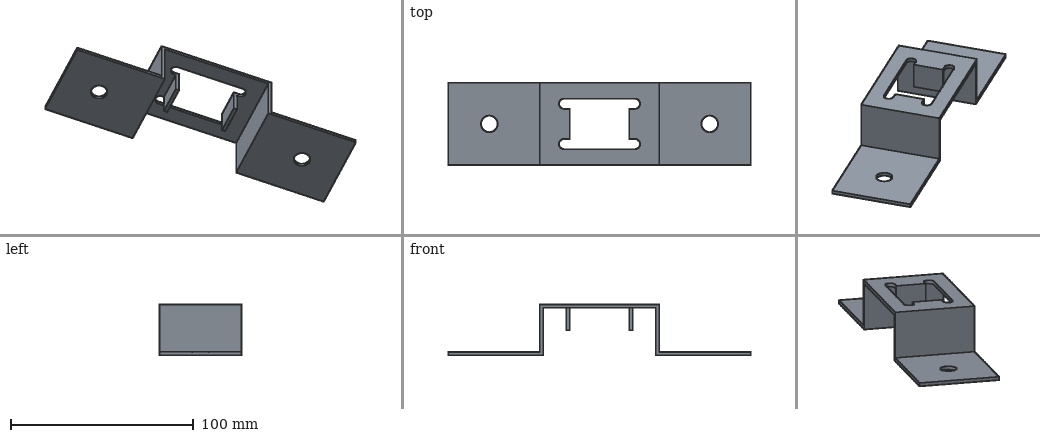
import cadquery as cq

length = 165.6
width = 45.0
height = 28.0
thickness = 2.0
bridge_length = 65.5

hole_diameter = 9.0
hole_spacing = 120.5

slot_length = 44.2
slot_width = 5.5
window_width = 27.5
opening_length = 32.5

tab_depth = 14.2
tab_width = window_width - 2 * slot_width


def bent_strip():
    """Hat-shaped sheet centred on X and Y, with its feet on Z = 0."""
    end = length / 2
    outer = bridge_length / 2
    inner = outer - thickness
    profile = [
        (-end, 0),
        (-inner, 0),
        (-inner, height - thickness),
        (inner, height - thickness),
        (inner, 0),
        (end, 0),
        (end, thickness),
        (outer, thickness),
        (outer, height),
        (-outer, height),
        (-outer, thickness),
        (-end, thickness),
    ]
    return cq.Workplane("XZ").polyline(profile).close().extrude(width / 2, both=True)


def foot_holes():
    half_spacing = hole_spacing / 2
    return (
        cq.Workplane("XY")
        .pushPoints([(-half_spacing, 0), (half_spacing, 0)])
        .circle(hole_diameter / 2)
        .extrude(thickness)
    )


def bridge_window():
    underside = cq.Workplane("XY").workplane(offset=height - thickness)
    slot_offset = (window_width - slot_width) / 2
    slots = (
        underside.pushPoints([(0, -slot_offset), (0, slot_offset)])
        .slot2D(slot_length, slot_width)
        .extrude(thickness)
    )
    opening = underside.rect(opening_length, 2 * slot_offset).extrude(thickness)
    return slots.union(opening)


def tabs():
    tab_offset = (opening_length + thickness) / 2
    return (
        cq.Workplane("XY")
        .workplane(offset=height - tab_depth)
        .pushPoints([(-tab_offset, 0), (tab_offset, 0)])
        .rect(thickness, tab_width)
        .extrude(tab_depth)
    )


result = bent_strip().cut(foot_holes()).cut(bridge_window()).union(tabs())